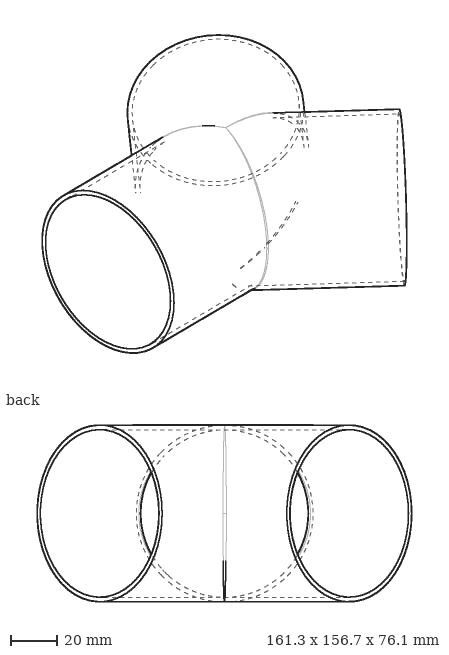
import cadquery as cq
import math

overall_width = 161.3
outer_diameter = 76.1
inner_diameter = 72.1
branch_angle = 45.0
outer_seam_radius = 1.0

outer_radius = outer_diameter / 2
wall = (outer_diameter - inner_diameter) / 2
inner_seam_radius = outer_seam_radius + wall
lean = math.radians(branch_angle)
leg_length = (overall_width / 2 - outer_radius * math.cos(lean)) / math.sin(lean)

crotch_seam = 90.0
right_seam = -branch_angle / 2
left_seam = 180.0 + branch_angle / 2
seam_reach = 2 * overall_width


def seam_point(angle):
    """Far point on the seam leaving the junction at this angle from +X."""
    return (seam_reach * math.cos(math.radians(angle)), seam_reach * math.sin(math.radians(angle)))


def mitred_rod(diameter, axis_angle, first_seam, last_seam):
    """Solid round leg cut along the seams on either side of it."""
    rod = (
        cq.Workplane("YZ")
        .workplane(offset=-leg_length)
        .circle(diameter / 2)
        .extrude(2 * leg_length)
        .rotate((0, 0, 0), (0, 0, 1), axis_angle)
    )
    sector = (
        cq.Workplane("XY")
        .polyline([(0, 0), seam_point(first_seam), seam_point(last_seam)])
        .close()
        .extrude(outer_diameter, both=True)
    )
    return rod.intersect(sector)


def three_legs(diameter, seam_radius):
    """Trunk and both branches as one solid Y with rounded seams."""
    trunk = mitred_rod(diameter, -90.0, left_seam, right_seam)
    right_branch = mitred_rod(diameter, 90.0 - branch_angle, right_seam, crotch_seam)
    left_branch = mitred_rod(diameter, 90.0 + branch_angle, crotch_seam, left_seam)
    legs = trunk.union(right_branch).union(left_branch)
    return legs.edges("%ELLIPSE").fillet(seam_radius)


outer_body = three_legs(outer_diameter, outer_seam_radius)
bore = three_legs(inner_diameter, inner_seam_radius)
result = outer_body.cut(bore)